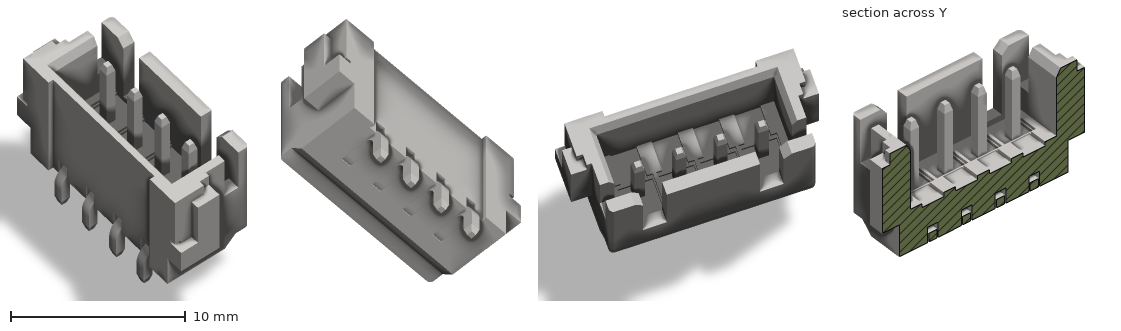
import cadquery as cq
import math


pin_count = 4
pin_pitch = 2.5
pin_width = 0.64
post_y = 3.63
post_top_z = 7.55
leg_bottom_z = -2.2
pin_tip_width = 0.36
pin_tip_length = 0.5
inner_bend_radius = 0.65
outer_bend_radius = inner_bend_radius + pin_width

housing_width = 12.5
housing_depth = 6.0
housing_height = 7.8
back_underside_z = 0.77
back_underside_depth = 1.0
back_slope_start_y = 4.2
back_corner_radius = 0.3
front_recess_width = 9.25
front_recess_depth = 0.35

cavity_width = 10.75
cavity_front_y = 1.08
back_wall_thickness = 0.8
floor_z = 3.05
lead_in_width = 0.32
lead_in_height = 0.55

side_slot_front_y = 4.2
side_slot_bottom_z = 4.7
back_window_inner_x = 2.82
back_window_outer_x = 4.25
post_bevel = 0.5

pocket_width = 2.31
pocket_front_y = 2.94
pocket_depth = 0.2
deep_pocket_width = 2.13
deep_pocket_front_y = 3.15
deep_pocket_depth = 0.4
groove_width = 1.59
groove_depth = 0.3
leg_slot_width = 0.75
leg_slot_height = 1.1
leg_slot_end_y = 3.07

overall_width = 15.0
arm_depth = 2.8
arm_bottom_z = 2.28
arm_top_z = 7.0
arm_notch_depth = 1.23
arm_notch_bottom_z = 3.9
cheek_width = 13.1
rib_width = 13.86
rib_depth = 2.12
rib_relief_depth = 0.42
rib_relief_height = 0.26

back_wall_inner_y = housing_depth - back_wall_thickness
pin_positions = [(i - (pin_count - 1) / 2) * pin_pitch for i in range(pin_count)]


def block(x_min, x_max, y_min, y_max, z_min, z_max):
    """Box given by its limits along each axis."""
    size = (x_max - x_min, y_max - y_min, z_max - z_min)
    return cq.Workplane("XY").box(*size, centered=False).translate((x_min, y_min, z_min))


def centred_block(x_centre, width, y_min, y_max, z_min, z_max):
    """Box of a given width about a plane of constant X."""
    return block(x_centre - width / 2, x_centre + width / 2, y_min, y_max, z_min, z_max)


def both_sides(shape):
    """The shape together with its mirror image across X = 0."""
    return shape.union(shape.mirror("YZ"))


def make_shell():
    """Solid housing: side profile with a sloped rear underside and rounded back corners."""
    profile = [
        (0, 0),
        (back_slope_start_y, 0),
        (housing_depth - back_underside_depth, back_underside_z),
        (housing_depth, back_underside_z),
        (housing_depth, housing_height),
        (0, housing_height),
    ]
    shell = cq.Workplane("YZ").polyline(profile).close().extrude(housing_width / 2, both=True)
    return shell.edges("|Z and >Y").fillet(back_corner_radius)


def make_arms():
    """Stepped arms on both ends: thickened cheek, upright rib and notched outer arm."""
    cheek = block(-cheek_width / 2, 0, 0, arm_depth, arm_bottom_z, housing_height)
    rib = block(-rib_width / 2, 0, 0, rib_depth, arm_bottom_z, housing_height)
    rib_relief = block(
        -rib_width / 2, -cheek_width / 2, 0, rib_relief_depth,
        arm_notch_bottom_z, arm_notch_bottom_z + rib_relief_height,
    )
    arm = block(-overall_width / 2, 0, 0, arm_depth, arm_bottom_z, arm_top_z)
    arm_notch = block(
        -overall_width / 2, -rib_width / 2, 0, arm_notch_depth,
        arm_notch_bottom_z, arm_top_z,
    )
    return both_sides(cheek.union(rib).union(arm).cut(arm_notch).cut(rib_relief))


def make_cavity():
    """Mating cavity with a sloped lead-in along its front and end walls."""
    cavity = centred_block(
        0, cavity_width, cavity_front_y, back_wall_inner_y, floor_z, housing_height
    )
    lead_in_bottom_z = housing_height - lead_in_height
    mouth_front_y = cavity_front_y - lead_in_width
    mouth_depth = back_wall_inner_y - mouth_front_y
    mouth_width = cavity_width + 2 * lead_in_width
    lead_in = (
        cq.Workplane("XY", origin=(0, mouth_front_y + mouth_depth / 2, lead_in_bottom_z))
        .rect(cavity_width, mouth_depth - 2 * lead_in_width)
        .workplane(offset=lead_in_height)
        .rect(mouth_width, mouth_depth)
        .loft(ruled=True)
    )
    return cavity.union(lead_in)


def make_shell_openings():
    """Slots through both end walls and the two windows in the back wall."""
    side_slot = centred_block(
        0, housing_width, side_slot_front_y, back_wall_inner_y, side_slot_bottom_z, housing_height
    )
    window_profile = [
        (back_window_inner_x, floor_z),
        (back_window_outer_x, floor_z),
        (back_window_outer_x, housing_height - post_bevel),
        (back_window_outer_x + post_bevel, housing_height),
        (back_window_inner_x, housing_height),
    ]
    window = (
        cq.Workplane("XZ", origin=(0, housing_depth, 0))
        .polyline(window_profile).close()
        .extrude(back_wall_thickness)
    )
    return side_slot.union(both_sides(window))


def make_pin_relief(x):
    """Everything removed around one pin: stepped floor pocket, floor groove and leg slot."""
    pocket = centred_block(
        x, pocket_width, pocket_front_y, back_wall_inner_y, floor_z - pocket_depth, floor_z
    )
    deep_pocket = centred_block(
        x, deep_pocket_width, deep_pocket_front_y, back_wall_inner_y,
        floor_z - deep_pocket_depth, floor_z,
    )
    groove = centred_block(
        x, groove_width, cavity_front_y, leg_slot_end_y, floor_z - groove_depth, floor_z
    )
    leg_slot = centred_block(x, leg_slot_width, 0, leg_slot_end_y, 0, leg_slot_height)
    return pocket.union(deep_pocket).union(groove).union(leg_slot)


def pin_tip(x, y, base_z, direction):
    """Tapered square pin end, rising (direction 1) or falling (direction -1) from base_z."""
    return (
        cq.Workplane("XY", origin=(x, y, base_z))
        .rect(pin_width, pin_width)
        .workplane(offset=direction * pin_tip_length)
        .rect(pin_tip_width, pin_tip_width)
        .loft(ruled=True)
    )


def make_pin(x):
    """Square pin: upright post, bend to the front, and bend down into the solder leg."""
    post_front_y = post_y - pin_width / 2
    post_back_y = post_y + pin_width / 2
    rear_bend_y = post_front_y - inner_bend_radius
    rear_bend_z = outer_bend_radius
    front_bend_y = outer_bend_radius
    front_bend_z = -inner_bend_radius
    post_end_z = post_top_z - pin_tip_length
    leg_end_z = leg_bottom_z + pin_tip_length
    diagonal = math.sqrt(0.5)
    inner_mid = inner_bend_radius * diagonal
    outer_mid = outer_bend_radius * diagonal
    path = (
        cq.Workplane("YZ", origin=(x - pin_width / 2, 0, 0))
        .moveTo(0, leg_end_z)
        .lineTo(0, front_bend_z)
        .threePointArc((front_bend_y - outer_mid, front_bend_z + outer_mid), (front_bend_y, pin_width))
        .lineTo(rear_bend_y, pin_width)
        .threePointArc((rear_bend_y + inner_mid, rear_bend_z - inner_mid), (post_front_y, rear_bend_z))
        .lineTo(post_front_y, post_end_z)
        .lineTo(post_back_y, post_end_z)
        .lineTo(post_back_y, rear_bend_z)
        .threePointArc((rear_bend_y + outer_mid, rear_bend_z - outer_mid), (rear_bend_y, 0))
        .lineTo(front_bend_y, 0)
        .threePointArc((front_bend_y - inner_mid, front_bend_z + inner_mid), (pin_width, front_bend_z))
        .lineTo(pin_width, leg_end_z)
        .close()
    )
    pin = path.extrude(pin_width)
    pin = pin.union(pin_tip(x, post_y, post_end_z, 1))
    return pin.union(pin_tip(x, pin_width / 2, leg_end_z, -1))


front_recess = centred_block(0, front_recess_width, 0, front_recess_depth, 0, housing_height)

result = make_shell().union(make_arms())
result = result.cut(front_recess).cut(make_cavity()).cut(make_shell_openings())
for pin_x in pin_positions:
    result = result.cut(make_pin_relief(pin_x)).union(make_pin(pin_x))